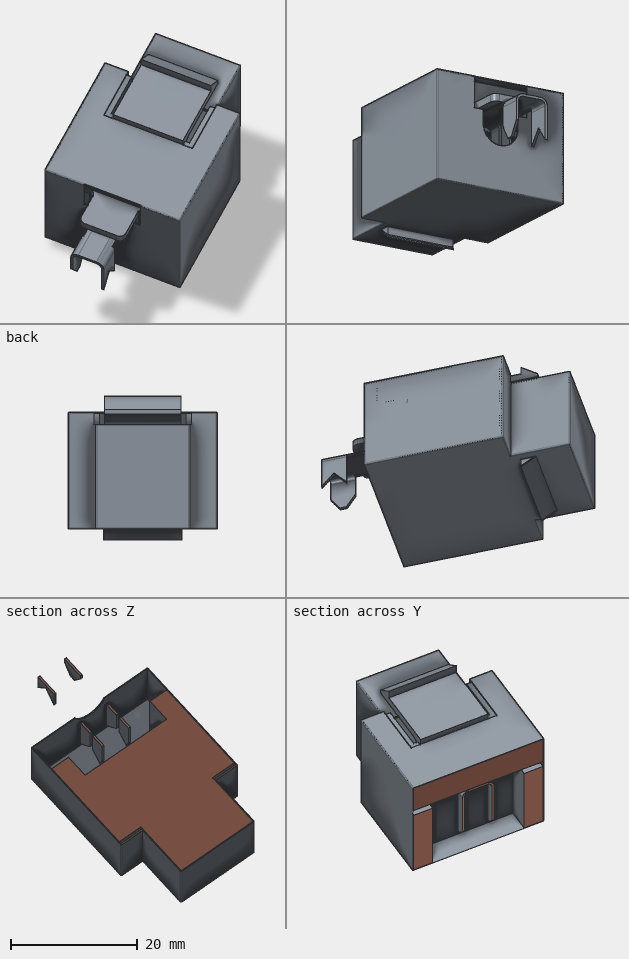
import cadquery as cq


SHEET = 0.2
EDGE_RADIUS = 0.19
SHELL_WIDTH = 23.5
SHELL_LENGTH = 22.85
SHELL_HEIGHT = 18.45
NOSE_WIDTH = 14.85
NOSE_HEIGHT = 16.5
NOSE_END = 32.55
FRONT_WALL = 0.35
LATCH_OPENING_WIDTH = 15.35
LATCH_OPENING_START = 13.55
TONGUE_OPENING_WIDTH = 9.75
TONGUE_OPENING_BOTTOM = 13.1
CABLE_RADIUS = 3.23
CABLE_CENTER_Z = 10.9

CATCH_REAR = 24.1
FLAP_FRONT = 26.65
FLAP_DROP = 1.7
FLAP_WIDTH = 12.32
HOOK_FRONT = 26.1
HOOK_DROP = 1.3

JACK_REAR = 9.22
CHEEK_REAR = 5.05
CHAMBER_WIDTH = 16.35
JACK_SHOULDER = 22.18
LATCH_WIDTH = 12.07
LATCH_TOP = 19.5
LATCH_UNDERSIDE = 18.15
LATCH_TIP = 26.83
LATCH_TIP_TOP = 18.82
BARB_TOP = 20.95
LATCH_SLOT_WIDTH = 13.6
LATCH_SLOT_START = 14.4
LATCH_SLOT_FLOOR = NOSE_HEIGHT

CAP_REAR = 2.15
TONGUE_WIDTH = 7.7
TONGUE_TOP = 14.55
TONGUE_BOTTOM = 13.3
TONGUE_END = -4.25
TONGUE_CORNER = 1.05
CAP_LIP_REAR = 7.13
CAP_LIP_BOTTOM = 12.32

CLIP_WIDTH = 5.75
CLIP_THICKNESS = 0.4
CLIP_BEND = 1.3
CLIP_NECK_WIDTH = 5.0
CLIP_NECK_BOTTOM = 12.75
CLIP_LEG_START = -5.32
CLIP_END = -9.4
CLIP_LEG_BOTTOM = 6.4
CLIP_SHOULDER_Z = 8.8
CLIP_POINT_WIDTH = 1.1
CLIP_NOTCH_TOP = 8.9
INNER_LEG_START = 1.35
INNER_LEG_LENGTH = 2.45
INNER_LEG_GAP = 0.65
INNER_LEG_BOTTOM = 3.35
INNER_LEG_TAPER = 2.2

INNER_TOP = SHELL_HEIGHT - SHEET
INNER_WIDTH = SHELL_WIDTH - 2 * SHEET
INNER_FRONT = SHELL_LENGTH - FRONT_WALL


def block(width, y_range, z_range):
    """A block centred on X = 0."""
    (y0, y1), (z0, z1) = y_range, z_range
    base = cq.Workplane("XY", origin=(0, y0, z0))
    return base.box(width, y1 - y0, z1 - z0, centered=(True, False, False))


def across(width, points):
    """A (Y, Z) outline extruded symmetrically across X = 0."""
    return cq.Workplane("YZ").polyline(points).close().extrude(width / 2, both=True)


def make_shell():
    main = block(SHELL_WIDTH, (0, SHELL_LENGTH), (0, SHELL_HEIGHT)).edges().fillet(EDGE_RADIUS)
    nose = block(NOSE_WIDTH, (INNER_FRONT - SHEET, NOSE_END), (0, NOSE_HEIGHT)).edges().fillet(EDGE_RADIUS)
    main_cavity = block(INNER_WIDTH, (SHEET, INNER_FRONT), (SHEET, INNER_TOP))
    nose_cavity = block(
        NOSE_WIDTH - 2 * SHEET, (INNER_FRONT - SHEET, NOSE_END - SHEET), (SHEET, NOSE_HEIGHT - SHEET)
    )
    latch_opening = block(
        LATCH_OPENING_WIDTH, (LATCH_OPENING_START, SHELL_LENGTH), (NOSE_HEIGHT, SHELL_HEIGHT)
    )
    tongue_opening = block(TONGUE_OPENING_WIDTH, (0, SHEET), (TONGUE_OPENING_BOTTOM, SHELL_HEIGHT))
    cable_slot = block(2 * CABLE_RADIUS, (0, SHEET), (CABLE_CENTER_Z, TONGUE_OPENING_BOTTOM)).union(
        cq.Workplane("XZ").center(0, CABLE_CENTER_Z).circle(CABLE_RADIUS).extrude(-SHEET)
    )
    catch_window = block(FLAP_WIDTH, (CATCH_REAR, FLAP_FRONT), (0, SHEET))
    flap = across(FLAP_WIDTH, [
        (FLAP_FRONT, 0),
        (CATCH_REAR, -FLAP_DROP),
        (CATCH_REAR, SHEET - FLAP_DROP),
        (FLAP_FRONT, SHEET),
    ])
    shell = main.union(nose).cut(main_cavity).cut(nose_cavity).cut(latch_opening)
    return shell.cut(tongue_opening).cut(cable_slot).cut(catch_window).union(flap)


def make_latch():
    root_bend = LATCH_UNDERSIDE - LATCH_SLOT_FLOOR
    return (
        cq.Workplane("YZ")
        .moveTo(LATCH_OPENING_START, LATCH_SLOT_FLOOR)
        .lineTo(LATCH_OPENING_START, LATCH_TOP)
        .lineTo(CATCH_REAR, LATCH_TOP)
        .lineTo(CATCH_REAR, BARB_TOP)
        .lineTo(LATCH_TIP, LATCH_TIP_TOP)
        .lineTo(LATCH_TIP, LATCH_UNDERSIDE)
        .lineTo(LATCH_SLOT_START + root_bend, LATCH_UNDERSIDE)
        .radiusArc((LATCH_SLOT_START, LATCH_SLOT_FLOOR), -root_bend)
        .close()
        .extrude(LATCH_WIDTH / 2, both=True)
    )


def make_jack():
    body = block(INNER_WIDTH, (JACK_REAR, JACK_SHOULDER), (SHEET, INNER_TOP))
    cheeks = block(INNER_WIDTH, (CHEEK_REAR, JACK_REAR), (SHEET, CAP_LIP_BOTTOM)).cut(
        block(CHAMBER_WIDTH, (CHEEK_REAR, JACK_REAR), (SHEET, CAP_LIP_BOTTOM))
    )
    nose = block(NOSE_WIDTH - 2 * SHEET, (JACK_SHOULDER, NOSE_END - SHEET), (SHEET, NOSE_HEIGHT - SHEET))
    latch_slot = block(LATCH_SLOT_WIDTH, (LATCH_SLOT_START, JACK_SHOULDER), (LATCH_SLOT_FLOOR, INNER_TOP))
    hook = across(LATCH_WIDTH, [
        (CATCH_REAR, SHEET),
        (CATCH_REAR, -HOOK_DROP),
        (HOOK_FRONT, 0),
        (HOOK_FRONT, SHEET),
    ])
    return body.union(cheeks).union(nose).cut(latch_slot).union(make_latch()).union(hook)


def make_cap():
    body = across(INNER_WIDTH, [
        (CAP_REAR, INNER_TOP),
        (CAP_REAR, TONGUE_BOTTOM),
        (CAP_LIP_REAR, TONGUE_BOTTOM),
        (CAP_LIP_REAR, CAP_LIP_BOTTOM),
        (JACK_REAR, CAP_LIP_BOTTOM),
        (JACK_REAR, INNER_TOP),
    ])
    side = TONGUE_WIDTH / 2
    root = TONGUE_OPENING_WIDTH / 2 - side
    tongue = (
        cq.Workplane("XY", origin=(0, 0, TONGUE_BOTTOM))
        .moveTo(-side - root, CAP_REAR)
        .radiusArc((-side, CAP_REAR - root), root)
        .lineTo(-side, TONGUE_END + TONGUE_CORNER)
        .radiusArc((-side + TONGUE_CORNER, TONGUE_END), -TONGUE_CORNER)
        .lineTo(side - TONGUE_CORNER, TONGUE_END)
        .radiusArc((side, TONGUE_END + TONGUE_CORNER), -TONGUE_CORNER)
        .lineTo(side, CAP_REAR - root)
        .radiusArc((side + root, CAP_REAR), root)
        .close()
        .extrude(TONGUE_TOP - TONGUE_BOTTOM)
    )
    return body.union(tongue)


def clip_channel(width, top, bend):
    """A block with two rounded upper edges, running the length of the clip."""
    channel = block(width, (CLIP_END, CAP_LIP_REAR), (INNER_LEG_BOTTOM, top))
    return channel.edges("|Y and >Z").fillet(bend)


def make_clip():
    """An inverted U cut down to a neck, an outer crimp and two inner pairs of legs."""
    outer = clip_channel(CLIP_WIDTH, TONGUE_BOTTOM, CLIP_BEND)
    inner = clip_channel(
        CLIP_WIDTH - 2 * CLIP_THICKNESS, TONGUE_BOTTOM - CLIP_THICKNESS, CLIP_BEND - CLIP_THICKNESS
    )
    first_end = INNER_LEG_START + INNER_LEG_LENGTH
    second_start = first_end + INNER_LEG_GAP
    second_end = second_start + INNER_LEG_LENGTH
    neck = block(CLIP_NECK_WIDTH, (CLIP_LEG_START, second_end), (CLIP_NECK_BOTTOM, TONGUE_BOTTOM))
    crimp = block(CLIP_WIDTH, (CLIP_END, CLIP_LEG_START), (CLIP_LEG_BOTTOM, TONGUE_BOTTOM))
    kept = neck.union(crimp)

    for plain_edge, tapered_edge, taper in (
        (INNER_LEG_START, first_end, -INNER_LEG_TAPER),
        (second_end, second_start, INNER_LEG_TAPER),
    ):
        kept = kept.union(across(CLIP_WIDTH, [
            (plain_edge, TONGUE_BOTTOM),
            (plain_edge, INNER_LEG_BOTTOM),
            (tapered_edge + taper, INNER_LEG_BOTTOM),
            (tapered_edge, INNER_LEG_BOTTOM + INNER_LEG_TAPER),
            (tapered_edge, TONGUE_BOTTOM),
        ]))
    clip = outer.cut(inner).intersect(kept)

    middle = (CLIP_LEG_START + CLIP_END) / 2
    half_point = CLIP_POINT_WIDTH / 2
    for edge, point in ((CLIP_LEG_START, middle + half_point), (CLIP_END, middle - half_point)):
        taper_outline = [(edge, CLIP_SHOULDER_Z), (edge, CLIP_LEG_BOTTOM), (point, CLIP_LEG_BOTTOM)]
        clip = clip.cut(cq.Workplane("YZ").polyline(taper_outline).close().extrude(-CLIP_WIDTH))
    notch = [(CLIP_LEG_START, CLIP_LEG_BOTTOM), (middle, CLIP_NOTCH_TOP), (CLIP_END, CLIP_LEG_BOTTOM)]
    return clip.cut(cq.Workplane("YZ").polyline(notch).close().extrude(CLIP_WIDTH))


shell = make_shell()
jack = make_jack()
cap = make_cap()
clip = make_clip()

result = cq.Compound.makeCompound([shell.val(), jack.val(), cap.val(), clip.val()])